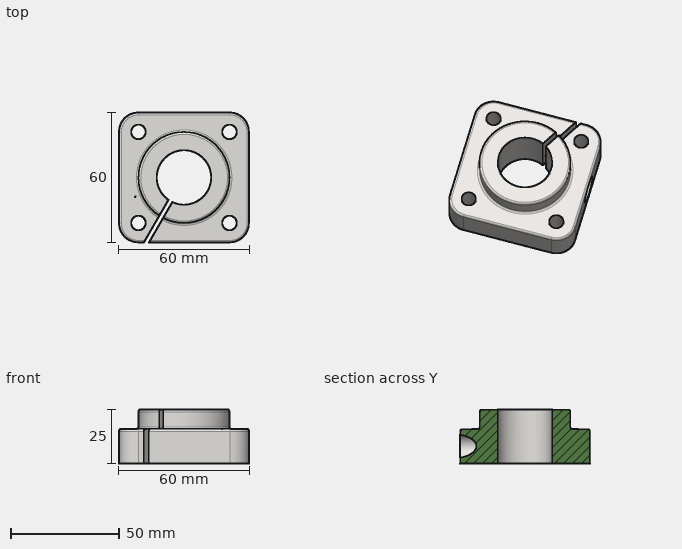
import cadquery as cq
import math

base_side = 60
base_height = 16.0
corner_radius = 9
mount_hole_diameter = 6.6
mount_hole_spacing = base_side - 2 * corner_radius

boss_diameter = 42
boss_height = 9
bore_diameter = 25.0
total_height = base_height + boss_height
edge_radius = 1.0

slot_width = 2.0
slot_angle = 240
slot_length = base_side

screw_distance = 16.75
screw_clearance_diameter = 6.6
screw_head_diameter = 11.0
screw_seat_distance = 15
screw_tap_diameter = 4.9
screw_tap_depth = 15

slot_direction = cq.Vector(math.cos(math.radians(slot_angle)), math.sin(math.radians(slot_angle)), 0)
screw_direction = cq.Vector(-slot_direction.y, slot_direction.x, 0)
screw_center = slot_direction * screw_distance + cq.Vector(0, 0, base_height / 2)


def make_body():
    """Flange and boss, with rounded rims and a fillet at the boss foot."""
    base = cq.Workplane("XY").rect(base_side, base_side).extrude(base_height)
    base = base.edges("|Z").fillet(corner_radius).faces(">Z").edges().fillet(edge_radius)
    boss = cq.Workplane("XY").circle(boss_diameter / 2).extrude(total_height)
    boss = boss.faces(">Z").edges().fillet(edge_radius)
    foot_point = (0, 0, base_height)
    foot_edge = cq.selectors.NearestToPointSelector(foot_point)
    return base.union(boss).edges("%CIRCLE").edges(foot_edge).fillet(edge_radius)


def screw_cylinder(diameter, start, end):
    """Cylinder on the screw axis between two distances from the slot's middle plane."""
    start_point = screw_center + screw_direction * start
    return cq.Workplane(cq.Solid.makeCylinder(diameter / 2, end - start, start_point, screw_direction))


def make_slot():
    """Through slot from the bore axis out past the flange."""
    slot = cq.Workplane("XY").rect(slot_length, slot_width).extrude(total_height)
    return slot.translate((slot_length / 2, 0, 0)).rotate((0, 0, 0), (0, 0, 1), slot_angle)


bore = cq.Workplane("XY").circle(bore_diameter / 2).extrude(total_height)
mount_holes = (
    cq.Workplane("XY")
    .rect(mount_hole_spacing, mount_hole_spacing, forConstruction=True)
    .vertices()
    .circle(mount_hole_diameter / 2)
    .extrude(base_height)
)

result = make_body().cut(bore).cut(mount_holes).cut(make_slot())
result = result.cut(screw_cylinder(screw_head_diameter, -base_side, -screw_seat_distance))
result = result.cut(screw_cylinder(screw_clearance_diameter, -screw_seat_distance, 0))
result = result.cut(screw_cylinder(screw_tap_diameter, 0, screw_tap_depth))